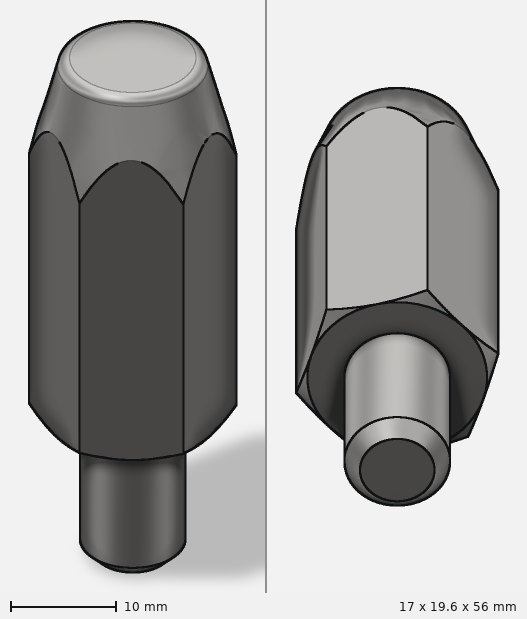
import cadquery as cq
import math

total_height = 56.0
body_height = 40.0
across_flats = 17.0
stud_diameter = 10.0
stud_chamfer_height = 1.5
stud_tip_diameter = 7.05
cone_angle = 15.0
cone_height_on_flats = 6.05
top_fillet = 1.2
base_chamfer_angle = 30.0

stud_length = total_height - body_height
flat_radius = across_flats / 2
corner_radius = flat_radius / math.cos(math.radians(30))
corner_overhang = corner_radius - flat_radius
cone_slope = math.tan(math.radians(cone_angle))
cone_top_radius = flat_radius - cone_height_on_flats * cone_slope
cone_start = total_height - cone_height_on_flats - corner_overhang / cone_slope
base_chamfer_top = stud_length + corner_overhang * math.tan(math.radians(base_chamfer_angle))


def hex_prism():
    """Hexagonal bar with two flats facing +X and -X."""
    return (
        cq.Workplane("XY")
        .workplane(offset=stud_length)
        .polygon(6, 2 * corner_radius)
        .extrude(body_height)
        .rotate((0, 0, 0), (0, 0, 1), 30)
    )


def turned_envelope():
    """Round envelope that tapers the head and trims the lower hexagon corners."""
    return (
        cq.Workplane("XZ")
        .moveTo(0, stud_length)
        .lineTo(flat_radius, stud_length)
        .lineTo(corner_radius, base_chamfer_top)
        .lineTo(corner_radius, cone_start)
        .lineTo(cone_top_radius, total_height)
        .lineTo(0, total_height)
        .close()
        .revolve(360, (0, 0, 0), (0, 1, 0))
        .faces(">Z")
        .edges()
        .fillet(top_fillet)
    )


def stud():
    """Round stud with a chamfered lower tip."""
    tip_inset = (stud_diameter - stud_tip_diameter) / 2
    return (
        cq.Workplane("XY")
        .circle(stud_diameter / 2)
        .extrude(stud_length)
        .faces("<Z")
        .chamfer(stud_chamfer_height, tip_inset)
    )


result = hex_prism().intersect(turned_envelope()).union(stud())